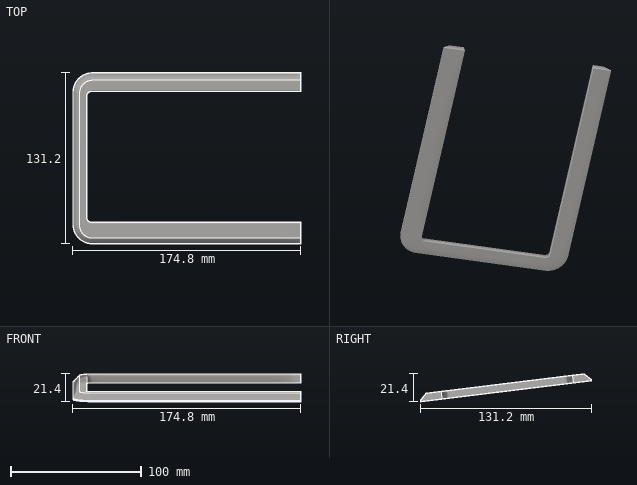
import cadquery as cq

length = 174.8
width = 132.1
tilt_angle = 7.0
lip_height = 0.96
bevel_height = 5.0
bevel_angle = 45.0
outer_radius = 15.2
web_width = 10.7
front_arm_width = 16.8
back_arm_width = 14.0
inner_radius = 3.5
inner_edge_radius = 0.96

thickness = lip_height + bevel_height
overrun = 2 * outer_radius


def rounded_block(x_start, y_start, x_size, y_size, radius):
    """Return a rectangular sketch with rounded corners, placed by its lower-left corner."""
    sketch = cq.Sketch().rect(x_size, y_size).vertices().fillet(radius)
    centre = (x_start + x_size / 2, y_start + y_size / 2)
    return sketch.moved(cq.Location(cq.Vector(*centre, 0)))


def make_bevelled_plate():
    """Plate with an upright lip and a bevel around its outside."""
    outline = rounded_block(0, 0, length + overrun, width, outer_radius)
    lip = cq.Workplane("XY").placeSketch(outline).extrude(lip_height)
    bevel = (
        cq.Workplane("XY", origin=(0, 0, lip_height))
        .placeSketch(outline)
        .extrude(bevel_height, taper=bevel_angle)
    )
    return lip.union(bevel)


def make_opening():
    """Cutter for the open-ended slot."""
    opening_width = width - front_arm_width - back_arm_width
    outline = rounded_block(
        web_width, front_arm_width, length + overrun, opening_width, inner_radius
    )
    return cq.Workplane("XY").placeSketch(outline).extrude(thickness)


def trim_to_length(body):
    """Cut the arms off square at the open end."""
    keep = cq.Workplane("XY").box(length, width, thickness, centered=False)
    return body.intersect(keep)


def round_opening_edges(body):
    """Round the top edge along the walls of the opening."""
    margin = inner_edge_radius / 2
    selection = cq.selectors.BoxSelector(
        (web_width - margin, front_arm_width - margin, -margin),
        (length - margin, width - back_arm_width + margin, thickness + margin),
    )
    return body.edges(selection).edges(">Z").fillet(inner_edge_radius)


frame = trim_to_length(make_bevelled_plate().cut(make_opening()))
frame = round_opening_edges(frame)
result = frame.rotate((0, 0, 0), (1, 0, 0), tilt_angle)